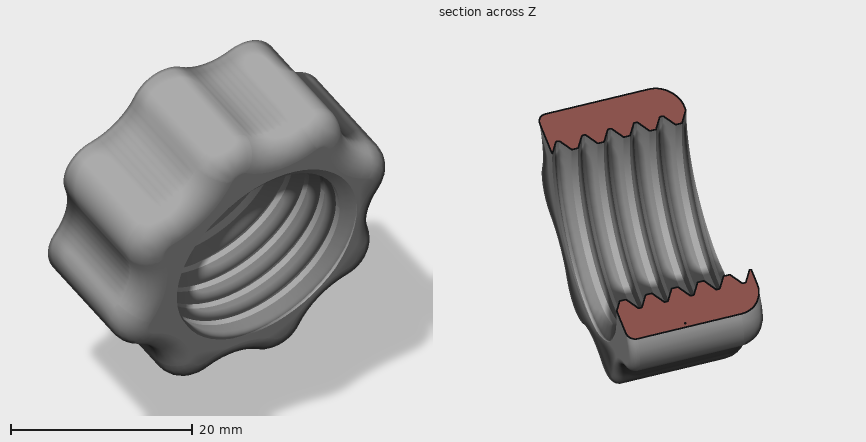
import cadquery as cq
import math

WIDTH = 16.0
LOBE_COUNT = 8
OUTER_RADIUS = 18.26
LOBE_RADIUS = 4.3
VALLEY_RADIUS = 7.08
FIRST_LOBE_ANGLE = 11.25
NEAR_FILLET = 1.0
FAR_FILLET = 3.0

THREAD_MAJOR_RADIUS = 12.8
THREAD_PITCH = 3.0
FLANK_HALF_ANGLE = 30.0
GROOVE_START_ANGLE = 223.5
GROOVE_INNER_OVERLAP = 0.1
ROOT_WIDTH = THREAD_PITCH / 8
SHARP_HEIGHT = THREAD_PITCH / (2 * math.tan(math.radians(FLANK_HALF_ANGLE)))
THREAD_MINOR_RADIUS = THREAD_MAJOR_RADIUS - 5 / 8 * SHARP_HEIGHT


def polar(radius, angle):
    return (
        radius * math.cos(math.radians(angle)),
        radius * math.sin(math.radians(angle)),
    )


def lobed_body():
    """Solid body whose outline alternates tangent lobe and valley arcs."""
    lobe_step = 360 / LOBE_COUNT
    half_step = lobe_step / 2
    lobe_centre_radius = OUTER_RADIUS - LOBE_RADIUS

    along, across = polar(lobe_centre_radius, half_step)
    centre_distance = LOBE_RADIUS + VALLEY_RADIUS
    valley_centre_radius = along + math.sqrt(centre_distance**2 - across**2)
    valley_floor_radius = valley_centre_radius - VALLEY_RADIUS

    valley_y, valley_z = polar(valley_centre_radius, half_step)
    share = LOBE_RADIUS / centre_distance
    tangent_y = lobe_centre_radius + share * (valley_y - lobe_centre_radius)
    tangent_z = share * valley_z
    tangent_radius = math.hypot(tangent_y, tangent_z)
    tangent_angle = math.degrees(math.atan2(tangent_z, tangent_y))

    outline = cq.Workplane("YZ").moveTo(*polar(tangent_radius, FIRST_LOBE_ANGLE - tangent_angle))
    for index in range(LOBE_COUNT):
        lobe_angle = FIRST_LOBE_ANGLE + index * lobe_step
        next_lobe_angle = lobe_angle + lobe_step
        outline = outline.threePointArc(
            polar(OUTER_RADIUS, lobe_angle),
            polar(tangent_radius, lobe_angle + tangent_angle),
        )
        outline = outline.threePointArc(
            polar(valley_floor_radius, lobe_angle + half_step),
            polar(tangent_radius, next_lobe_angle - tangent_angle),
        )
    return outline.close().extrude(WIDTH)


def bore():
    return cq.Workplane("YZ").circle(THREAD_MINOR_RADIUS).extrude(WIDTH)


def thread_groove():
    """Helical groove cutter that runs out past both faces."""
    inner_radius = THREAD_MINOR_RADIUS - GROOVE_INNER_OVERLAP
    flank_rise = (THREAD_MAJOR_RADIUS - inner_radius) * math.tan(math.radians(FLANK_HALF_ANGLE))
    half_root = ROOT_WIDTH / 2
    half_mouth = half_root + flank_rise

    helix = cq.Wire.makeHelix(THREAD_PITCH, WIDTH + 2 * THREAD_PITCH, inner_radius)
    groove = (
        cq.Workplane("XZ")
        .polyline(
            [
                (inner_radius, -half_mouth),
                (THREAD_MAJOR_RADIUS, -half_root),
                (THREAD_MAJOR_RADIUS, half_root),
                (inner_radius, half_mouth),
            ]
        )
        .close()
        .sweep(cq.Workplane(obj=helix), isFrenet=True)
    )
    groove = groove.translate((0, 0, -THREAD_PITCH))
    groove = groove.rotate((0, 0, 0), (0, 0, 1), GROOVE_START_ANGLE)
    return groove.rotate((0, 0, 0), (1, 1, 1), 120)


body = lobed_body()
body = body.faces("<X").edges().fillet(NEAR_FILLET)
body = body.faces(">X").edges().fillet(FAR_FILLET)
result = body.cut(thread_groove()).cut(bore())